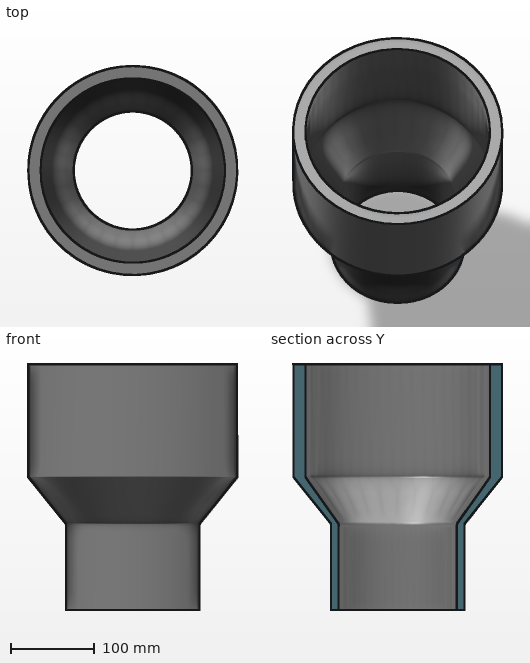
import cadquery as cq

LARGE_DIAMETER = 250.0
LARGE_WALL = 14.8
SMALL_DIAMETER = 160.0
SMALL_WALL = 9.5
TOTAL_HEIGHT = 294.0
SPIGOT_HEIGHT = 103.0
CONE_HEIGHT = 56.0
OUTER_BLEND_RADIUS = 2.0
INNER_BLEND_RADIUS = 5.5
SELECT_MARGIN = 1.0

CONE_TOP = SPIGOT_HEIGHT + CONE_HEIGHT


def stepped_body(small_radius, large_radius, blend_radius):
    """Solid of revolution: small cylinder, cone, large cylinder, with blended corners."""
    profile = (
        cq.Workplane("XZ")
        .moveTo(0, 0)
        .lineTo(-small_radius, 0)
        .lineTo(-small_radius, SPIGOT_HEIGHT)
        .lineTo(-large_radius, CONE_TOP)
        .lineTo(-large_radius, TOTAL_HEIGHT)
        .lineTo(0, TOTAL_HEIGHT)
        .close()
    )
    body = profile.revolve(360, (0, 0, 0), (0, 1, 0))
    cone_edges = cq.selectors.BoxSelector(
        (-large_radius, -large_radius, SPIGOT_HEIGHT - SELECT_MARGIN),
        (large_radius, large_radius, CONE_TOP + SELECT_MARGIN),
    )
    return body.edges("%CIRCLE").edges(cone_edges).fillet(blend_radius)


large_radius = LARGE_DIAMETER / 2
small_radius = SMALL_DIAMETER / 2

outside = stepped_body(small_radius, large_radius, OUTER_BLEND_RADIUS)
bore = stepped_body(
    small_radius - SMALL_WALL,
    large_radius - LARGE_WALL,
    INNER_BLEND_RADIUS,
)

result = outside.cut(bore)